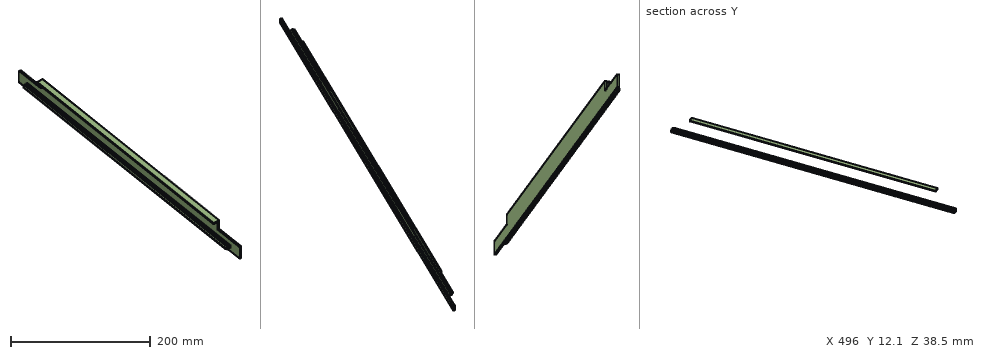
import math

import cadquery as cq

length = 496.0
height = 38.5
flange_thickness = 2.5
sheet = 3.0
wing_length = 50.0
wing_height = 22.0
flange_depth = 10.0
corner_radius = 2.0

depth = 12.1
strip_inset = 20.0
strip_z = 10.0
barb_half_height = 2.25
inner_barb_back = 3.5
outer_barb_back = 8.0
barb_land = 1.5
inner_barb_slope = math.radians(26.5)
tip_slope = math.radians(30.0)

flange_length = length - 2 * wing_length
strip_length = length - 2 * strip_inset


def slab_on_front(x_size, z_size, z_middle, y_start, y_end):
    """Box centred in X, reaching toward -Y from y_start to y_end."""
    y_size = y_end - y_start
    return cq.Workplane("XY").box(x_size, y_size, z_size).translate((0, -(y_start + y_end) / 2, z_middle))


def make_wings():
    """Low full-length band of the plate, with its upper end corners rounded."""
    wings = slab_on_front(length, wing_height, wing_height / 2, 0, sheet)
    return wings.edges("|Y and >Z").fillet(corner_radius)


def make_flanged_middle():
    """L-shaped section of the raised middle of the plate."""
    inner_z = height - flange_thickness
    return (
        cq.Workplane("YZ", origin=(-flange_length / 2, 0, 0))
        .lineTo(0, height)
        .lineTo(-flange_depth, height)
        .lineTo(-flange_depth, inner_z)
        .lineTo(-sheet, inner_z)
        .lineTo(-sheet, 0)
        .close()
        .extrude(flange_length)
    )


def make_strip():
    """Stem and inner barb of constant section, ending in a barb bevelled on all four sides."""
    inner_land_end = inner_barb_back + barb_land
    neck_half_height = barb_half_height - (outer_barb_back - inner_land_end) * math.tan(inner_barb_slope)
    upper_half = [
        (0, neck_half_height),
        (-inner_barb_back, neck_half_height),
        (-inner_barb_back, barb_half_height),
        (-inner_land_end, barb_half_height),
        (-outer_barb_back, neck_half_height),
    ]
    lower_half = [(y, -z) for y, z in reversed(upper_half)]
    stem = (
        cq.Workplane("YZ", origin=(-strip_length / 2, 0, strip_z))
        .polyline(upper_half + lower_half)
        .close()
        .extrude(strip_length)
    )

    tip_start = outer_barb_back + barb_land
    land = slab_on_front(strip_length, 2 * barb_half_height, strip_z, outer_barb_back, tip_start)
    tip_length = depth - tip_start
    bevel = tip_length * math.tan(tip_slope)
    tip = (
        cq.Workplane("XZ", origin=(0, -tip_start, strip_z))
        .rect(strip_length, 2 * barb_half_height)
        .workplane(offset=tip_length)
        .rect(strip_length - 2 * bevel, 2 * (barb_half_height - bevel))
        .loft(ruled=True)
    )
    return stem.union(land).union(tip)


result = make_wings().union(make_flanged_middle()).union(make_strip())